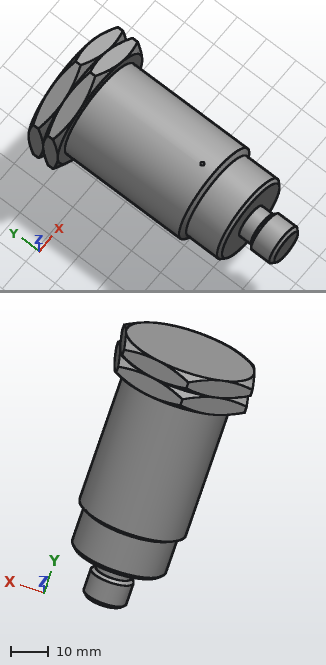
import cadquery as cq
import math

total_length = 73.5

nut_across_flats = 36.0
nut_thickness = 5.0
nut_count = 2
nut_chamfer_angle = 30.0

body_radius = 15.0
body_end = 48.95
step_cone_length = 1.0
shoulder_radius = 13.2
shoulder_end = 61.45
edge_chamfer = 0.95
neck_radius = 5.0
plug_start = 65.4
plug_radius = 6.0

indicator_diameter = 1.0
indicator_height = 0.2
indicator_distance = 44.9


def make_nut(back_face):
    """Hexagon with corners on +Z and -Z, both faces bevelled down to the flats' inscribed circle."""
    flat_radius = nut_across_flats / 2
    corner_radius = flat_radius / math.cos(math.pi / 6)
    bevel_depth = (corner_radius - flat_radius) * math.tan(math.radians(nut_chamfer_angle))
    front_face = back_face - nut_thickness
    hexagon = (
        cq.Workplane("XZ", origin=(0, back_face, 0))
        .transformed(rotate=(0, 0, 90))
        .polygon(6, 2 * corner_radius)
        .extrude(nut_thickness)
    )
    bevel_profile = [
        (0, front_face),
        (flat_radius, front_face),
        (corner_radius, front_face + bevel_depth),
        (corner_radius, back_face - bevel_depth),
        (flat_radius, back_face),
        (0, back_face),
    ]
    return hexagon.intersect(revolve_about_y(bevel_profile))


def revolve_about_y(profile):
    """Turn a closed (radius, y) outline around the Y axis."""
    return cq.Workplane("XY").polyline(profile).close().revolve(360, (0, 0, 0), (0, 1, 0))


def make_body():
    """Turned body: barrel, shoulder, neck and plug."""
    body_front = total_length - body_end
    shoulder_front = total_length - shoulder_end
    plug_back = total_length - plug_start
    return revolve_about_y([
        (0, total_length),
        (body_radius, total_length),
        (body_radius, body_front),
        (shoulder_radius, body_front - step_cone_length),
        (shoulder_radius, shoulder_front + edge_chamfer),
        (shoulder_radius - edge_chamfer, shoulder_front),
        (neck_radius, shoulder_front),
        (neck_radius, plug_back),
        (plug_radius, plug_back - edge_chamfer),
        (plug_radius, edge_chamfer),
        (plug_radius - edge_chamfer, 0),
        (0, 0),
    ])


def make_indicator_dome():
    """Ball whose centre lies inside the barrel, so that only its cap stands proud."""
    rim_radius = indicator_diameter / 2
    ball_radius = (rim_radius**2 + indicator_height**2) / (2 * indicator_height)
    ball_height = body_radius + indicator_height - ball_radius
    indicator_y = total_length - indicator_distance
    return cq.Workplane("XY", origin=(0, indicator_y, ball_height)).sphere(ball_radius)


result = make_body()
for index in range(nut_count):
    result = result.union(make_nut(total_length - index * nut_thickness))
result = result.union(make_indicator_dome())